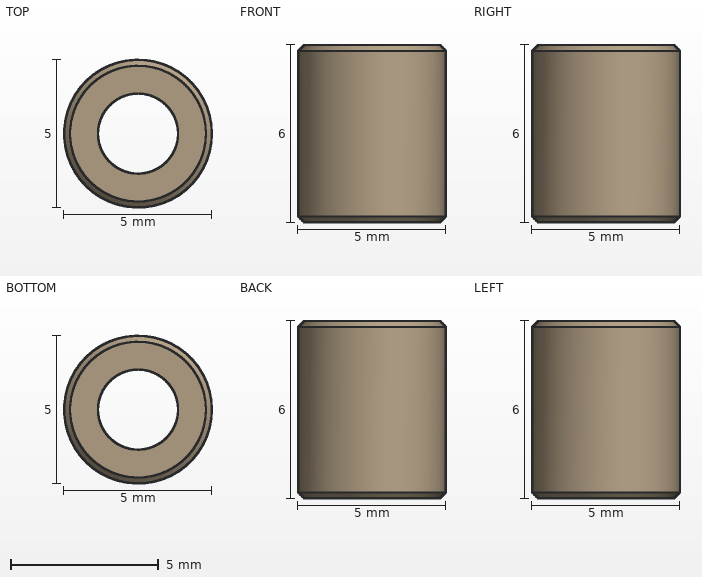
import cadquery as cq

height = 6.0
outer_diameter = height * 5 / 6
bore_diameter = 2.7
edge_chamfer = 0.205

body = cq.Workplane("XY").circle(outer_diameter / 2).extrude(height)
body = body.faces("<Z or >Z").chamfer(edge_chamfer)

result = body.faces(">Z").workplane().hole(bore_diameter)